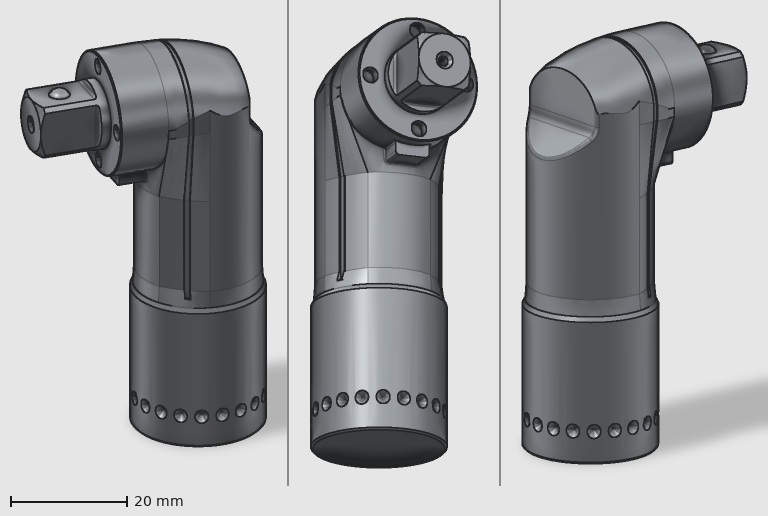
import cadquery as cq
import math

overall_height = 72.2

sleeve_diameter = 23.5
sleeve_radius = sleeve_diameter / 2
sleeve_height = 25.4
sleeve_foot_chamfer = 0.35
shoulder_top = 26.3
shoulder_radius = 11.25

dimple_count = 20
dimple_height = 5.85
dimple_radius = 1.2

neck_radius = 11.05
flank_rear_y = -2.0
flank_front_x = 5.8
flank_bulge = 0.5
flare_top = 29.3
neck_top = 46.4
widening_top = 59.6

head_diameter = 22.0
head_radius = head_diameter / 2
head_axis_height = overall_height - head_radius
head_front_y = -18.4
crown_start_y = -9.7
crown_radius = 36.1
crown_clearance = 0.11
head_rim_chamfer = 0.2

back_y = 6.15
slope_corner_height = 59.05
slope_end_y = 10.8
slope_end_height = 53.85
back_blend_radius = 2.9
back_edge_fillet = 0.9

groove_center_y = -5.5
groove_width = 0.9
groove_depth = 0.3
groove_bottom = 27.7

lug_half_width = 3.1
lug_bottom = 48.15
lug_front_y = -15.75
lug_corner_radius = 0.7
lug_fillet = 0.35

pin_hole_count = 4
pin_hole_radius = 1.4
pin_circle_radius = 8.8
pin_hole_depth = 2.2
pin_hole_turn = 1.0

drive_radius = 6.2
collar_end_y = -20.15
drive_end_y = -30.8
drive_size = 9.5
drive_root_fillet = 0.5
drive_tip_length = 0.8
center_hole_radius = 0.9
center_hole_depth = 4.3
center_sink_radius = 1.5
ball_radius = 2.1
ball_rise = 1.1
ball_y = -25.55


def y_cylinder(radius, start_y, end_y):
    """Cylinder on the drive axis from start_y forward to the lower end_y."""
    plane = cq.Plane(origin=(0, start_y, head_axis_height), xDir=(1, 0, 0), normal=(0, -1, 0))
    return cq.Workplane(plane).circle(radius).extrude(start_y - end_y)


def flank_points(inset):
    """Rear end, bulged middle and front end of the eased arc on the +X front corner."""
    radius = neck_radius - inset
    rear = (math.sqrt(radius**2 - flank_rear_y**2), flank_rear_y)
    front = (flank_front_x, -math.sqrt(radius**2 - flank_front_x**2))
    chord = (rear[0] - front[0], rear[1] - front[1])
    chord_length = math.hypot(*chord)
    middle = (
        (rear[0] + front[0]) / 2 + flank_bulge * chord[1] / chord_length,
        (rear[1] + front[1]) / 2 - flank_bulge * chord[0] / chord_length,
    )
    return rear, middle, front


def closed_outline(height, radius, rear, middle, front):
    """Horizontal outline: rear arc, two flanks and a front arc, mirrored about X = 0."""
    return (
        cq.Workplane("XY", origin=(0, 0, height))
        .moveTo(*rear)
        .threePointArc((0, radius), (-rear[0], rear[1]))
        .threePointArc((-middle[0], middle[1]), (-front[0], front[1]))
        .threePointArc((0, -radius), front)
        .threePointArc(middle, rear)
        .close()
    )


def neck_outline(height, inset):
    return closed_outline(height, neck_radius - inset, *flank_points(inset))


def head_outline(height, inset):
    """Outline of the head at its widest: round at the back, running straight to the front."""
    rear = flank_points(inset)[0]
    front = (head_radius - inset, crown_start_y)
    middle = (neck_radius - inset, (rear[1] + front[1]) / 2)
    return closed_outline(height, neck_radius - inset, rear, middle, front)


def circle_outline(height, radius):
    """Circle split where the neck outline is split."""
    split_points = []
    for x, y in flank_points(0):
        scale = radius / math.hypot(x, y)
        split_points.append((x * scale, y * scale))
    return closed_outline(height, radius, *split_points)


def ruled_loft(lower, upper):
    wires = [outline.val() for outline in (lower, upper)]
    return cq.Workplane(cq.Solid.makeLoft(wires, True))


def crown_height(y):
    """Height of the crown above the drive axis at a given depth."""
    return head_radius - crown_radius + math.sqrt(crown_radius**2 - (y - crown_start_y) ** 2)


def crown_half_width(y):
    """Half width of the crown: the head at the front, just over the round outline behind."""
    if y <= crown_start_y:
        return head_radius
    return math.sqrt(neck_radius**2 - max(y, 0) ** 2) + crown_clearance


def make_crown(inset):
    """Limit for the top of the head: elliptical sections above the drive axis, none below."""
    sections = []
    for y in (crown_start_y, crown_start_y / 2, 0, back_y / 2, back_y):
        plane = cq.Plane(origin=(0, y, head_axis_height), xDir=(1, 0, 0), normal=(0, -1, 0))
        ellipse = cq.Workplane(plane).ellipse(crown_half_width(y) - inset, crown_height(y) - inset)
        sections.append(ellipse.val())
    crown = cq.Workplane(cq.Solid.makeLoft(sections))
    below = cq.Workplane("XY").box(
        4 * sleeve_radius, 4 * sleeve_radius, head_axis_height, centered=(True, True, False)
    )
    return crown.union(below)


def make_housing(inset):
    """Neck, its widening into the head, and the head cylinder, all set in by the same amount."""
    column = neck_outline(shoulder_top, inset).extrude(neck_top - shoulder_top)
    widening = ruled_loft(neck_outline(neck_top, inset), head_outline(widening_top, inset))
    upper = head_outline(widening_top, inset).extrude(overall_height - widening_top)
    upper = upper.intersect(make_crown(inset))
    head = y_cylinder(head_radius - inset, crown_start_y, head_front_y)
    return column.union(widening).union(upper).union(head)


def make_sleeve():
    """Grip sleeve with a chamfered foot and a sloped shoulder."""
    return (
        cq.Workplane("XZ")
        .moveTo(0, 0)
        .lineTo(sleeve_radius - sleeve_foot_chamfer, 0)
        .lineTo(sleeve_radius, sleeve_foot_chamfer)
        .lineTo(sleeve_radius, sleeve_height)
        .lineTo(shoulder_radius, shoulder_top)
        .lineTo(0, shoulder_top)
        .close()
        .revolve(360, (0, 0, 0), (0, 1, 0))
    )


def make_back_cut():
    """Material removed behind the flat back and the slope below it."""
    slope = (slope_corner_height - slope_end_height) / (slope_end_y - back_y)
    outer_y = 2 * sleeve_radius
    outer_height = slope_corner_height - slope * (outer_y - back_y)
    cut = (
        cq.Workplane("YZ", origin=(-sleeve_radius, 0, 0))
        .moveTo(back_y, overall_height)
        .lineTo(back_y, slope_corner_height)
        .lineTo(outer_y, outer_height)
        .lineTo(outer_y, overall_height)
        .close()
        .extrude(2 * sleeve_radius)
    )
    corner = cq.selectors.NearestToPointSelector((0, back_y, slope_corner_height))
    return cut.edges(corner).fillet(back_blend_radius)


def make_groove():
    """Shallow groove that follows the skin of the neck and head."""
    slab = cq.Workplane("XY").box(
        2 * sleeve_radius, groove_width, overall_height - groove_bottom, centered=(True, True, False)
    ).translate((0, groove_center_y, groove_bottom))
    return slab.cut(make_housing(groove_depth))


def make_lug():
    lug_top = head_axis_height - head_radius / 2
    return (
        cq.Workplane("XY")
        .box(2 * lug_half_width, -lug_front_y, lug_top - lug_bottom, centered=(True, False, False))
        .edges("|Y and <Z")
        .fillet(lug_corner_radius)
        .translate((0, lug_front_y, lug_bottom))
    )


def make_dimples():
    """Conical dimples equally spaced around the sleeve."""
    cone = cq.Solid.makeCone(
        2 * dimple_radius, 0, 2 * dimple_radius,
        cq.Vector(0, -sleeve_radius - dimple_radius, dimple_height), cq.Vector(0, 1, 0),
    )
    dimples = cq.Workplane("XY")
    for index in range(dimple_count):
        dimples = dimples.add(cone.rotate((0, 0, 0), (0, 0, 1), index * 360 / dimple_count))
    return dimples


def make_pin_holes():
    face = cq.Plane(origin=(0, head_front_y, head_axis_height), xDir=(1, 0, 0), normal=(0, -1, 0))
    return (
        cq.Workplane(face)
        .polarArray(pin_circle_radius, pin_hole_turn, 360, pin_hole_count)
        .circle(pin_hole_radius)
        .extrude(-pin_hole_depth)
    )


def make_drive():
    """Round collar milled to a square, with a coned tip, a centre hole and a detent ball."""
    flat = drive_size / 2
    drive = y_cylinder(drive_radius, head_front_y, drive_end_y)
    drive = drive.faces("<Y").chamfer(drive_tip_length, drive_radius - flat)

    flat_cutter = (
        cq.Workplane("XY")
        .box(2 * drive_radius, collar_end_y - drive_end_y, drive_radius, centered=(True, False, False))
        .edges("|X and >Y and <Z")
        .fillet(drive_root_fillet)
        .translate((0, drive_end_y, head_axis_height + flat))
    )
    axis_start = (0, 0, head_axis_height)
    axis_end = (0, 1, head_axis_height)
    for turn in range(4):
        drive = drive.cut(flat_cutter.rotate(axis_start, axis_end, 90 * turn))

    ball_center = head_axis_height + flat + ball_rise - ball_radius
    drive = drive.union(cq.Workplane("XY", origin=(0, ball_y, ball_center)).sphere(ball_radius))

    sink_depth = center_sink_radius - center_hole_radius
    center_hole = y_cylinder(center_hole_radius, drive_end_y + center_hole_depth, drive_end_y)
    center_sink = cq.Solid.makeCone(
        center_sink_radius, center_hole_radius, sink_depth,
        cq.Vector(0, drive_end_y, head_axis_height), cq.Vector(0, 1, 0),
    )
    return drive.cut(center_hole).cut(cq.Workplane(center_sink))


housing = make_housing(0)
housing = housing.faces("<Y").chamfer(head_rim_chamfer)
housing = housing.cut(make_back_cut())
back_face = housing.faces(cq.selectors.NearestToPointSelector((0, back_y, head_axis_height)))
housing = back_face.edges("not <Z").fillet(back_edge_fillet)

housing = housing.union(make_lug())
margin = 0.1
reach = lug_half_width + margin
head_underside = head_axis_height - head_radius
neck_root = cq.selectors.BoxSelector(
    (-reach, -neck_radius - margin, lug_bottom - margin),
    (reach, -neck_radius + lug_corner_radius, head_underside),
)
head_root = cq.selectors.BoxSelector(
    (-reach, lug_front_y + margin, head_underside),
    (reach, -neck_radius - margin, head_underside + lug_corner_radius),
)
housing = housing.edges(neck_root + head_root).fillet(lug_fillet)

flare = ruled_loft(circle_outline(shoulder_top, shoulder_radius), neck_outline(flare_top, 0))
housing = housing.union(flare).cut(make_groove())

result = housing.union(make_sleeve()).union(make_drive()).cut(make_pin_holes())
for dimple in make_dimples().vals():
    result = result.cut(cq.Workplane(dimple))